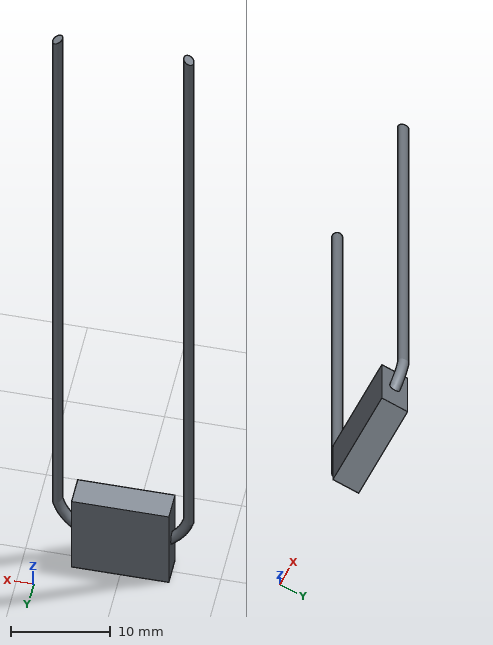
import cadquery as cq
import math

BODY_SIDE = 10.0
BODY_THICKNESS = 3.0

TOTAL_HEIGHT = 78.55
TOTAL_WIDTH = 14.45
WIRE_DIAMETER = 1.2
BEND_TOP_Z = 8.25
SECTION_TILT = 30.0
BEND_START_TILT = 12.0
BEND_RADIUS = 6.05
BEND_SWEEP = 50.0

WIRE_RADIUS = WIRE_DIAMETER / 2
TILT = math.radians(SECTION_TILT)
BEND_START = math.radians(BEND_START_TILT)
STRAIGHT_X = TOTAL_WIDTH / 2 - WIRE_RADIUS * math.cos(TILT)
STRAIGHT_LENGTH = TOTAL_HEIGHT - WIRE_RADIUS * math.sin(TILT) - BEND_TOP_Z


def make_block():
    """Plain rectangular block."""
    return cq.Workplane("XY").box(BODY_SIDE, BODY_THICKNESS, BODY_SIDE, centered=(True, True, False))


def bend_point(angle):
    """Point (x, z) on the bend axis, at an angle in degrees past the top of the bend."""
    turned = BEND_START + math.radians(angle)
    x = STRAIGHT_X + BEND_RADIUS * (math.cos(turned) - math.cos(BEND_START))
    z = BEND_TOP_Z + BEND_RADIUS * (math.sin(BEND_START) - math.sin(turned))
    return (x, z)


def make_right_lead(block):
    """Lead on the +X side, trimmed flush with the body wall."""
    section_plane = cq.Plane(
        origin=(STRAIGHT_X, 0, BEND_TOP_Z),
        xDir=(math.cos(TILT), 0, -math.sin(TILT)),
        normal=(-math.sin(TILT), 0, -math.cos(TILT)),
    )
    bend_axis = (
        cq.Workplane("XZ")
        .moveTo(*bend_point(0))
        .threePointArc(bend_point(BEND_SWEEP / 2), bend_point(BEND_SWEEP))
    )
    bend = cq.Workplane(section_plane).circle(WIRE_RADIUS).sweep(bend_axis)

    section = cq.Face.makeFromWires(cq.Workplane(section_plane).circle(WIRE_RADIUS).wire().val())
    straight = cq.Solid.extrudeLinear(section, cq.Vector(0, 0, STRAIGHT_LENGTH))
    return bend.cut(block).union(cq.Workplane(straight))


block = make_block()
right_lead = make_right_lead(block)
leads = [right_lead.rotate((0, 0, 0), (0, 0, 1), turn) for turn in (0, 180)]

result = cq.Compound.makeCompound([block.val(), *[lead.val() for lead in leads]])